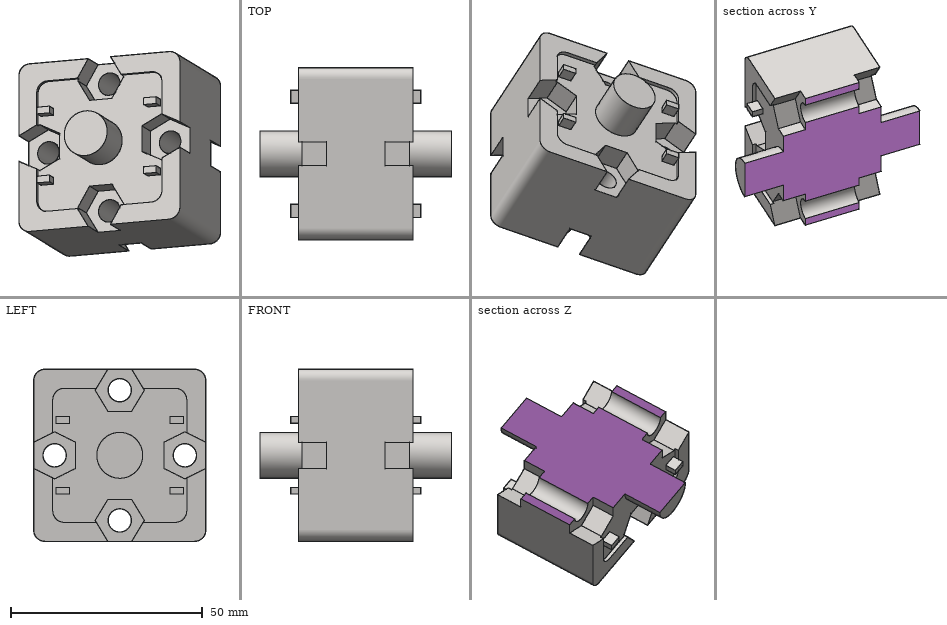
import cadquery as cq

BODY_LENGTH = 30.0
BODY_SIDE = 45.0
CORNER_RADIUS = 3.0

RECESS_SIDE = 35.0
RECESS_DEPTH = 1.0

SHAFT_LENGTH = 50.0
SHAFT_DIAMETER = 12.0

HOLE_DIAMETER = 6.0
HOLE_OFFSET = 17.0
HOLE_COUNT = 4
POCKET_DEPTH = 7.3
Z_POCKET_EDGE = 3.1
Z_POCKET_CORNER = 6.4
Y_POCKET_EDGE = 3.4
Y_POCKET_CORNER = 6.15

PEG_WIDTH = 3.5
PEG_HEIGHT = 1.8
PEG_PROJECTION = 2.0
PEG_SPACING_Y = 29.8
PEG_SPACING_Z = 18.5

HALF_LENGTH = BODY_LENGTH / 2
HALF_SIDE = BODY_SIDE / 2
POCKET_REACH = HALF_SIDE - HOLE_OFFSET


def rounded_square_bar(side, length):
    """Bar along X with a rounded square section, centred on the origin."""
    bar = cq.Workplane("YZ").rect(side, side).extrude(length / 2, both=True)
    return bar.edges("|X").fillet(CORNER_RADIUS)


def end_plane(x):
    """YZ workplane at the given X."""
    return cq.Workplane("YZ", origin=(x, 0, 0))


def nut_pockets(edge, corner, first_angle):
    """Two opposite pockets at both ends; the first lies at first_angle from +Y about X."""
    inner = HOLE_OFFSET - POCKET_REACH
    outline = [
        (inner, -edge),
        (HOLE_OFFSET, -corner),
        (HALF_SIDE, -edge),
        (HALF_SIDE, edge),
        (HOLE_OFFSET, corner),
        (inner, edge),
    ]
    floor = HALF_LENGTH - POCKET_DEPTH
    pocket = end_plane(floor).polyline(outline).close().extrude(POCKET_DEPTH)
    pair = pocket.union(pocket.mirror("YZ"))
    pair = pair.rotate((0, 0, 0), (1, 0, 0), first_angle)
    return pair.union(pair.rotate((0, 0, 0), (1, 0, 0), 180))


def bolt_holes():
    """Four holes through the full length of the block."""
    holes = end_plane(0).polarArray(HOLE_OFFSET, 0, 360, HOLE_COUNT).circle(HOLE_DIAMETER / 2)
    return holes.extrude(HALF_LENGTH, both=True)


def locating_pegs():
    """Four pegs at each end, rising from the recess floor past the end face."""
    floor = HALF_LENGTH - RECESS_DEPTH
    pegs = end_plane(floor).rarray(PEG_SPACING_Y, PEG_SPACING_Z, 2, 2).rect(PEG_WIDTH, PEG_HEIGHT)
    pegs = pegs.extrude(RECESS_DEPTH + PEG_PROJECTION)
    return pegs.union(pegs.mirror("YZ"))


def end_recesses():
    """Material removed by the recess at both ends."""
    core_length = BODY_LENGTH - 2 * RECESS_DEPTH
    core = cq.Workplane("XY").box(core_length, BODY_SIDE, BODY_SIDE)
    return rounded_square_bar(RECESS_SIDE, BODY_LENGTH).cut(core)


body = rounded_square_bar(BODY_SIDE, BODY_LENGTH)
body = body.cut(end_recesses())
body = body.cut(nut_pockets(Y_POCKET_EDGE, Y_POCKET_CORNER, 0))
body = body.cut(nut_pockets(Z_POCKET_EDGE, Z_POCKET_CORNER, 90))
body = body.cut(bolt_holes())

shaft = end_plane(0).circle(SHAFT_DIAMETER / 2).extrude(SHAFT_LENGTH / 2, both=True)

result = body.union(shaft).union(locating_pegs())